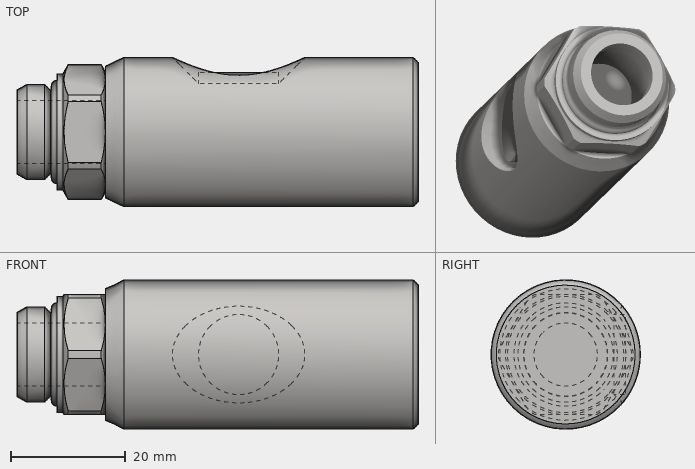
import cadquery as cq
import math

total_length = 69.9
seal_x = 5.95
collar_x = 7.0
hex_x = 8.0
body_x = 15.4

spigot_radius = 8.3
spigot_tip_radius = 7.35
spigot_tip_length = 1.75
spigot_land_end_x = 4.75
groove_radius = 7.3
bore_radius = 5.5
bore_depth = body_x

seal_section_radius = collar_x - seal_x
seal_outer_radius = 9.0
collar_radius = 10.15

hex_across_flats = 21.0
hex_corner_radius = 11.75
hex_chamfer_angle = 30.0

body_radius = 13.0
body_face_radius = 11.45
body_cone_length = 3.2
end_chamfer = 0.9

button_x = 38.6
button_radius = 7.0
button_top_y = 10.4
recess_mouth_radius = 11.5


def revolve_about_x(profile):
    return profile.close().revolve(360, (0, 0, 0), (1, 0, 0))


def make_spigot():
    arc_middle = seal_section_radius * math.sqrt(0.5)
    seal_centre_radius = seal_outer_radius - seal_section_radius
    profile = (
        cq.Workplane("XY")
        .moveTo(0, 0)
        .lineTo(0, spigot_tip_radius)
        .lineTo(spigot_tip_length, spigot_radius)
        .lineTo(spigot_land_end_x, spigot_radius)
        .lineTo(spigot_land_end_x + spigot_radius - groove_radius, groove_radius)
        .lineTo(seal_x, groove_radius)
        .lineTo(seal_x, seal_centre_radius)
        .threePointArc(
            (collar_x - arc_middle, seal_centre_radius + arc_middle),
            (collar_x, seal_outer_radius),
        )
        .lineTo(collar_x, collar_radius)
        .lineTo(hex_x, collar_radius)
        .lineTo(hex_x, 0)
    )
    return revolve_about_x(profile)


def make_hexagon():
    hex_length = body_x - hex_x
    across_corners = hex_across_flats / math.cos(math.radians(30))
    bar = cq.Workplane("YZ", origin=(hex_x, 0, 0)).polygon(6, across_corners).extrude(hex_length)
    rear_radius = hex_across_flats / 2
    chamfer_slope = math.tan(math.radians(hex_chamfer_angle))
    front_chamfer_length = (hex_corner_radius - collar_radius) * chamfer_slope
    rear_chamfer_length = (hex_corner_radius - rear_radius) * chamfer_slope
    envelope = revolve_about_x(
        cq.Workplane("XY")
        .moveTo(hex_x, 0)
        .lineTo(hex_x, collar_radius)
        .lineTo(hex_x + front_chamfer_length, hex_corner_radius)
        .lineTo(body_x - rear_chamfer_length, hex_corner_radius)
        .lineTo(body_x, rear_radius)
        .lineTo(body_x, 0)
    )
    return bar.intersect(envelope)


def make_body():
    profile = (
        cq.Workplane("XY")
        .moveTo(body_x, 0)
        .lineTo(body_x, body_face_radius)
        .lineTo(body_x + body_cone_length, body_radius)
        .lineTo(total_length - end_chamfer, body_radius)
        .lineTo(total_length, body_radius - end_chamfer)
        .lineTo(total_length, 0)
    )
    return revolve_about_x(profile)


def make_button_recess():
    bottom_y = body_radius - (recess_mouth_radius - button_radius)
    profile = (
        cq.Workplane("XY", origin=(button_x, 0, 0))
        .moveTo(0, button_top_y)
        .lineTo(button_radius, button_top_y)
        .lineTo(button_radius, bottom_y)
        .lineTo(recess_mouth_radius, body_radius)
        .lineTo(0, body_radius)
        .close()
    )
    return profile.revolve(360, (0, 0, 0), (0, 1, 0))


bore = cq.Workplane("YZ").circle(bore_radius).extrude(bore_depth)

result = make_spigot().union(make_hexagon()).union(make_body())
result = result.cut(bore).cut(make_button_recess())